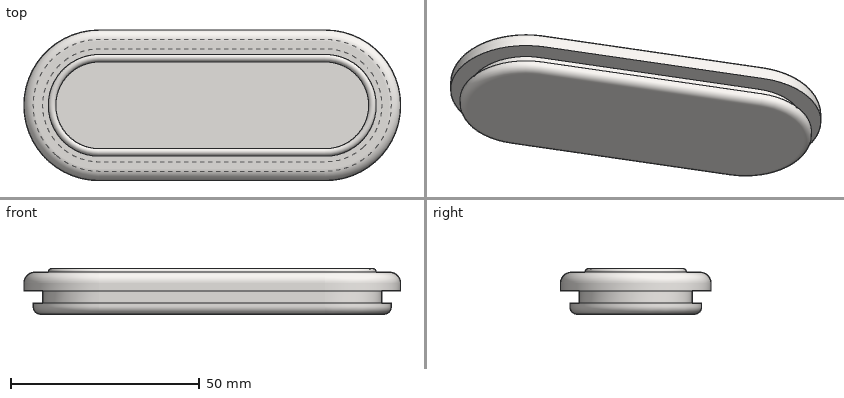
import cadquery as cq

length = 100.0
cap_radius = 20.0
centre_distance = length - 2 * cap_radius

neck_inset = 5.0
flange_inset = 2.5
neck_radius = cap_radius - neck_inset
flange_radius = cap_radius - flange_inset
bead_path_radius = 12.5
bead_radius = 1.0

flange_thickness = 3.0
neck_height = 3.2
cap_thickness = 5.0
cap_fillet = 3.0
flange_fillet = 2.0

neck_base = flange_thickness
cap_base = neck_base + neck_height
cap_top = cap_base + cap_thickness


def slot_plate(end_radius, base, thickness):
    """Slot-shaped plate with full-round ends, lying along X."""
    return (
        cq.Workplane("XY")
        .workplane(offset=base)
        .slot2D(centre_distance + 2 * end_radius, 2 * end_radius)
        .extrude(thickness)
    )


def round_bead():
    """Half-exposed round bead following a slot-shaped path on the cap."""
    half = centre_distance / 2
    bead = (
        cq.Workplane("YZ")
        .workplane(offset=-half)
        .pushPoints([(-bead_path_radius, cap_top), (bead_path_radius, cap_top)])
        .circle(bead_radius)
        .extrude(centre_distance)
    )
    for side in (-1, 1):
        end = (
            cq.Workplane("YZ")
            .workplane(offset=side * half)
            .center(-side * bead_path_radius, cap_top)
            .circle(bead_radius)
            .revolve(180, (side * bead_path_radius, 0), (side * bead_path_radius, 1))
        )
        bead = bead.union(end)
    return bead


flange = slot_plate(flange_radius, 0, flange_thickness).faces("<Z").edges().fillet(flange_fillet)
neck = slot_plate(neck_radius, neck_base, neck_height)
cap = slot_plate(cap_radius, cap_base, cap_thickness).faces(">Z").edges().fillet(cap_fillet)

result = flange.union(neck).union(cap).union(round_bead())